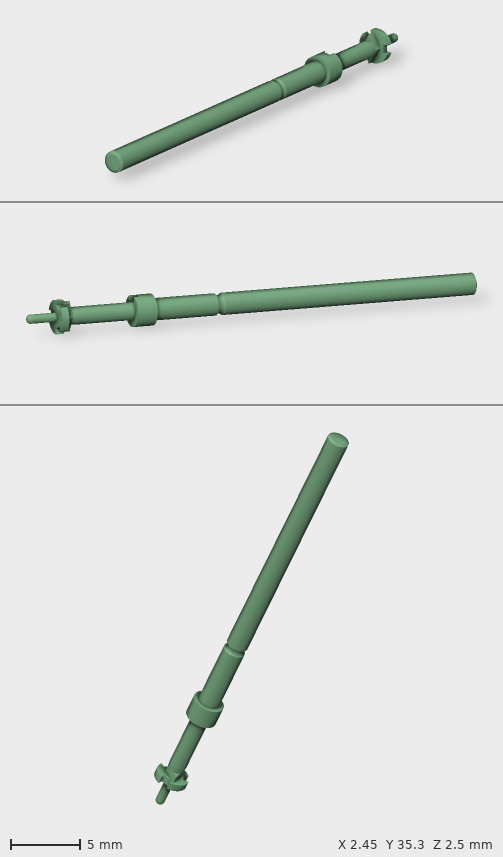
import cadquery as cq
import math

total_length = 35.3

flange_start = 2.25
flange_length = 0.55
blade_length = 0.55
collar_start = 8.3
collar_length = 1.55
groove_middle = 15.1
flange_end = flange_start + flange_length
stem_start = flange_end + blade_length
collar_end = collar_start + collar_length

pin_radius = 0.67 / 2
stem_tip_radius = 1.25 / 2
stem_radius = 1.3 / 2
collar_radius = 2.33 / 2
barrel_radius = 1.62 / 2
flange_radius = 2.5 / 2

stem_taper_length = 0.42

tip_flat_radius = 0.1
tip_length = 0.35

chamfer_length = 0.1
chamfer_inset = 0.2

groove_width = 0.55
groove_depth = 0.15

blade_half_width = 0.65
blade_half_height = 1.13

notch_count = 3
notch_width = 0.7
notch_floor_radius = 0.8

keyway_width = 0.78
keyway_length = 0.5


def axial(distance):
    """Y coordinate of a point at this distance from the contact tip."""
    return total_length / 2 - distance


def cross_section(distance):
    """Workplane across the axis; local X is X, local Y is Z, extrudes toward -Y."""
    return cq.Workplane("XZ", origin=(0, axial(distance), 0))


def cylinder(start, end, radius):
    """Solid cylinder on the axis between two distances from the contact tip."""
    return cross_section(start).circle(radius).extrude(end - start)


def make_pin():
    """Contact pin with a rounded, flat-ended tip."""
    shoulder = axial(tip_length)
    quarter_middle = math.sqrt(0.5)
    arc_x = tip_flat_radius + (pin_radius - tip_flat_radius) * quarter_middle
    arc_y = shoulder + tip_length * quarter_middle
    return (
        cq.Workplane("XY")
        .moveTo(0, axial(flange_start))
        .lineTo(pin_radius, axial(flange_start))
        .lineTo(pin_radius, shoulder)
        .threePointArc((arc_x, arc_y), (tip_flat_radius, axial(0)))
        .lineTo(0, axial(0))
        .close()
        .revolve(360, (0, 0, 0), (0, 1, 0))
    )


def make_blade():
    """Diamond-shaped neck joining the flange to the stem."""
    corners = [
        (-blade_half_width, 0),
        (0, blade_half_height),
        (blade_half_width, 0),
        (0, -blade_half_height),
    ]
    return cross_section(flange_end).polyline(corners).close().extrude(blade_length)


def make_notched_head():
    """Flange and neck with evenly spaced flat-floored notches, one of them facing +X."""
    head = cylinder(flange_start, flange_end, flange_radius).union(make_blade())
    notch_depth = flange_radius - notch_floor_radius
    notch_middle_radius = notch_floor_radius + notch_depth / 2
    notches = (
        cross_section(flange_start)
        .polarArray(notch_middle_radius, 0, 360, notch_count)
        .rect(notch_depth, notch_width)
        .extrude(flange_length + blade_length)
    )
    return head.cut(notches)


def make_stem():
    """Stem between neck and barrel, tapering slightly toward the neck."""
    taper_end = stem_start + stem_taper_length
    return (
        cq.Workplane("XY")
        .moveTo(0, axial(stem_start))
        .lineTo(stem_tip_radius, axial(stem_start))
        .lineTo(stem_radius, axial(taper_end))
        .lineTo(stem_radius, axial(collar_end))
        .lineTo(0, axial(collar_end))
        .close()
        .revolve(360, (0, 0, 0), (0, 1, 0))
    )


def make_collar():
    """Collar with a keyway cut down to the stem on its top side."""
    collar = cylinder(collar_start, collar_end, collar_radius)
    keyway = (
        cross_section(collar_start)
        .rect(keyway_width, collar_radius, centered=(True, False))
        .extrude(keyway_length)
    )
    return collar.cut(keyway)


def make_barrel():
    """Long barrel with a chamfered blunt end and a groove near the collar."""
    barrel = cylinder(collar_end, total_length, barrel_radius)
    barrel = barrel.faces("<Y").chamfer(chamfer_length, chamfer_inset)
    groove = (
        cq.Workplane("XY")
        .moveTo(barrel_radius, axial(groove_middle - groove_width / 2))
        .threePointArc(
            (barrel_radius - groove_depth, axial(groove_middle)),
            (barrel_radius, axial(groove_middle + groove_width / 2)),
        )
        .close()
        .revolve(360, (0, 0, 0), (0, 1, 0))
    )
    return barrel.cut(groove)


result = (
    make_pin()
    .union(make_notched_head())
    .union(make_collar())
    .union(make_stem())
    .union(make_barrel())
)